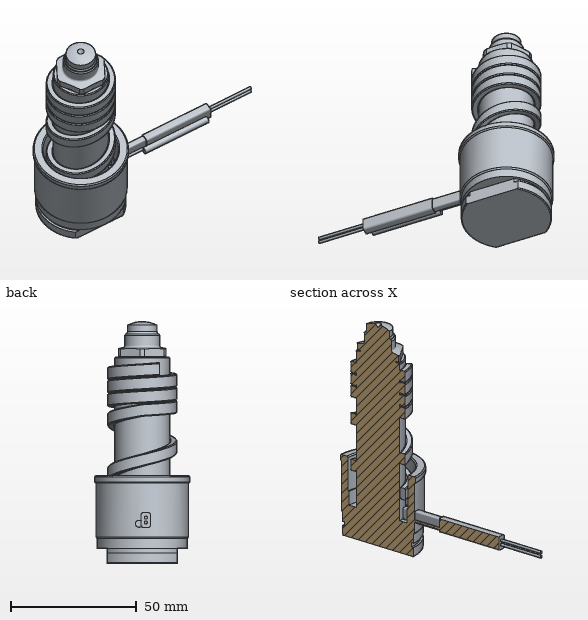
import cadquery as cq
import math

base_radius = 18.0
base_top = 10.0
base_chamfer = 0.4
flat_distance = 14.0
flat_height = 6.0
groove_radius = 17.0
groove_bottom = 4.2
body_radius = 18.5
body_chamfer = 0.6
flange_radius = 19.0
flange_bottom = 32.0
flange_chamfer = 0.5
cup_top = 35.0
bore_radius = 15.0
bore_chamfer = 0.5
lower_bore_radius = 14.5
lower_bore_top = 20.0
bore_floor = 14.0

column_radius = 11.0
column_top = 82.1
column_chamfer = 0.4
hex_bottom = 82.4
hex_top = 85.3
hex_flats = 19.0
hex_corner_radius = 10.5
hex_undercut_radius = 9.0
cone_top = 85.9
neck_fillet = 0.8
neck_radius = 7.0
neck_top = 91.4
neck_chamfer_width = 0.4
neck_chamfer_height = 0.7
tip_foot_radius = 6.3
tip_foot_height = 0.8
tip_radius = 5.9
tip_top = 94.8
dome_top = 96.2
dimple_radius = 1.3
dimple_depth = 1.3

coil_outer = 13.8
coil_embed = 0.2
coil_height = 5.0
coil_outer_chamfer = 0.4
coil_inner_chamfer = 0.5
coil_start_z = 26.0
coil_start_turn = -3 / 4
entry_pitch = 11.5
open_start_turn = -1 / 9
open_pitch = 21.5
closing_start_turn = 1.0
closing_pitch = 15.2
tight_start_turn = 5 / 4
tight_pitch = 5.3
coil_end_turn = 13 / 3

lead_z = 17.3
lead_x = -1.5
lead_width = 2.8
lead_height = 5.2
lead_start = 12.5
sleeve_x = -1.4
sleeve_width = 3.8
sleeve_height = 6.0
sleeve_start = 30.9
sleeve_end = 61.0
lead_edge_radius = 0.6
sleeve_edge_radius = 1.0
wire_radius = 0.6
wire_spacing = 1.9
wire_end = 81.0

sensor_x = 0.2
sensor_z = 15.8
sensor_radius = 0.6
sensor_start = 15.5
sensor_sleeve_x = 1.3
sensor_sleeve_radius = 1.4
sensor_sleeve_start = 29.0
sensor_sleeve_end = 58.8


def revolve_profile(points):
    """Revolve an (r, z) outline about the Z axis."""
    return cq.Workplane("XZ").polyline(points).close().revolve(360, (0, 0), (0, 1))


def cylinder_between(radius, bottom, top):
    return cq.Workplane("XY").workplane(offset=bottom).circle(radius).extrude(top - bottom)


def rod_along_y(radius, x, z, start, end):
    return cq.Workplane("XZ", origin=(x, start, z)).circle(radius).extrude(start - end)


def bar_along_y(width, height, edge_radius, x, z, start, end):
    bar = cq.Workplane("XZ", origin=(x, start, z)).rect(width, height).extrude(start - end)
    return bar.edges("|Y").fillet(edge_radius)


def make_housing():
    outline = [
        (0, 0),
        (base_radius - base_chamfer, 0),
        (base_radius, base_chamfer),
        (base_radius, groove_bottom),
        (groove_radius, groove_bottom),
        (groove_radius, flat_height),
        (base_radius, flat_height),
        (base_radius, base_top),
        (body_radius, base_top + body_chamfer),
        (body_radius, flange_bottom),
        (flange_radius, flange_bottom + flange_chamfer),
        (flange_radius, cup_top - flange_chamfer),
        (flange_radius - flange_chamfer, cup_top),
        (bore_radius + bore_chamfer, cup_top),
        (bore_radius, cup_top - bore_chamfer),
        (bore_radius, lower_bore_top),
        (lower_bore_radius, lower_bore_top),
        (lower_bore_radius, bore_floor),
        (0, bore_floor),
    ]
    housing = revolve_profile(outline)
    side_width = base_radius - flat_distance
    for side in (-1, 1):
        cutter = cq.Workplane("XY").box(
            side_width, 2 * base_radius, flat_height, centered=(True, True, False)
        )
        housing = housing.cut(cutter.translate((side * (flat_distance + side_width / 2), 0, 0)))
    return housing


def make_hex_collar():
    corner_diameter = hex_flats / math.cos(math.pi / 6)
    hexagon = (
        cq.Workplane("XY")
        .workplane(offset=hex_bottom)
        .polygon(6, corner_diameter)
        .extrude(cone_top - hex_bottom)
        .rotate((0, 0, 0), (0, 0, 1), 30)
    )
    rounding = revolve_profile([
        (0, hex_bottom),
        (hex_corner_radius, hex_bottom),
        (hex_corner_radius, hex_top),
        (neck_radius + neck_fillet, cone_top),
        (0, cone_top),
    ])
    return hexagon.intersect(rounding)


def make_nozzle():
    column = cylinder_between(column_radius, bore_floor, column_top).faces(">Z").chamfer(column_chamfer)
    undercut = cylinder_between(hex_undercut_radius, column_top, hex_bottom)
    fillet_middle = neck_fillet * (1 - math.sqrt(0.5))
    dome_height = dome_top - tip_top
    center_drop = (tip_radius ** 2 - dimple_radius ** 2 - dome_height ** 2) / (2 * dome_height)
    dome_radius = math.hypot(tip_radius, center_drop)
    dome_middle_r = (tip_radius + dimple_radius) / 2
    dome_middle_z = tip_top - center_drop + math.sqrt(dome_radius ** 2 - dome_middle_r ** 2)
    tip = (
        cq.Workplane("XZ")
        .moveTo(0, hex_top)
        .lineTo(neck_radius + neck_fillet, hex_top)
        .lineTo(neck_radius + neck_fillet, cone_top)
        .threePointArc(
            (neck_radius + fillet_middle, cone_top + fillet_middle),
            (neck_radius, cone_top + neck_fillet),
        )
        .lineTo(neck_radius, neck_top - neck_chamfer_height)
        .lineTo(neck_radius - neck_chamfer_width, neck_top)
        .lineTo(tip_foot_radius, neck_top)
        .lineTo(tip_radius, neck_top + tip_foot_height)
        .lineTo(tip_radius, tip_top)
        .threePointArc((dome_middle_r, dome_middle_z), (dimple_radius, dome_top))
        .lineTo(0, dome_top - dimple_depth)
        .close()
        .revolve(360, (0, 0), (0, 1))
    )
    return column.union(undercut).union(make_hex_collar()).union(tip)


def make_coil_section(start_turn, end_turn, pitch, start_z):
    """Sweep the flat coil section along a helix of constant pitch."""
    rise = pitch * (end_turn - start_turn)
    path = cq.Workplane(cq.Wire.makeHelix(pitch, rise, coil_outer))
    half = coil_height / 2
    inner = column_radius - coil_embed
    section = cq.Workplane("XZ").polyline([
        (inner, half - coil_inner_chamfer),
        (column_radius + coil_inner_chamfer, half),
        (coil_outer - coil_outer_chamfer, half),
        (coil_outer, half - coil_outer_chamfer),
        (coil_outer, coil_outer_chamfer - half),
        (coil_outer - coil_outer_chamfer, -half),
        (column_radius + coil_inner_chamfer, -half),
        (inner, coil_inner_chamfer - half),
    ]).close()
    swept = section.sweep(path, isFrenet=True)
    return swept.rotate((0, 0, 0), (0, 0, 1), 360 * start_turn).translate((0, 0, start_z))


def make_coil():
    """Join the coil sections end to end, each starting at the height where the last one ended."""
    sections = [
        (coil_start_turn, open_start_turn, entry_pitch),
        (open_start_turn, closing_start_turn, open_pitch),
        (closing_start_turn, tight_start_turn, closing_pitch),
        (tight_start_turn, coil_end_turn, tight_pitch),
    ]
    coil = cq.Workplane("XY")
    section_z = coil_start_z
    for start_turn, end_turn, pitch in sections:
        coil = coil.add(make_coil_section(start_turn, end_turn, pitch, section_z))
        section_z += pitch * (end_turn - start_turn)
    return coil.combine()


def make_leads():
    leads = bar_along_y(
        lead_width, lead_height, lead_edge_radius, lead_x, lead_z, lead_start, sleeve_start
    )
    leads = leads.union(bar_along_y(
        sleeve_width, sleeve_height, sleeve_edge_radius, sleeve_x, lead_z, sleeve_start, sleeve_end
    ))
    for side in (-1, 1):
        wire_z = lead_z + side * wire_spacing / 2
        leads = leads.union(rod_along_y(wire_radius, sleeve_x, wire_z, sleeve_end, wire_end))
    leads = leads.union(rod_along_y(
        sensor_radius, sensor_x, sensor_z, sensor_start, sensor_sleeve_start
    ))
    return leads.union(rod_along_y(
        sensor_sleeve_radius, sensor_sleeve_x, sensor_z, sensor_sleeve_start, sensor_sleeve_end
    ))


result = make_housing().union(make_nozzle()).union(make_leads()).union(make_coil())